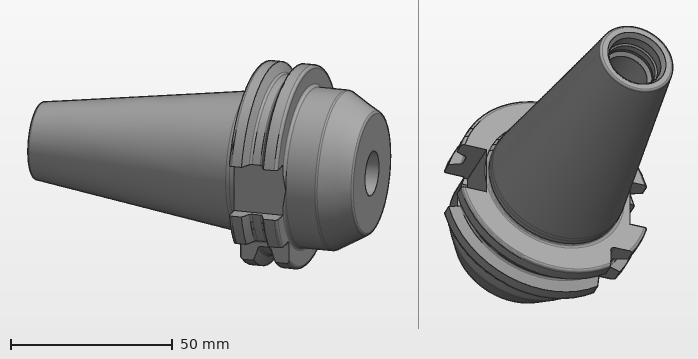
import cadquery as cq
import math


total_length = 108.2
gauge_position = 68.4
gauge_radius = 22.1
taper_slope = 7 / 48
shank_end_radius = gauge_radius - gauge_position * taper_slope
shank_end_rounding = 0.8
gauge_rounding = 8.7
edge_rounding = 1.0

flange_diameter = 63.5
flange_radius = flange_diameter / 2
flange_start = 71.5
flange_width = 15.8
flange_end = flange_start + flange_width
groove_center = 79.3
groove_depth = 3.7
groove_half_width = 3.6
groove_floor_half_width = 1.8
groove_floor_rounding = 0.9
groove_floor_radius = flange_radius - groove_depth

nose_radius = 25.0
nose_cone_start = 98.2
nose_cone_angle = math.radians(30)
nose_cone_rounding = 1.3
nose_end_radius = nose_radius - (total_length - nose_cone_start) * math.tan(nose_cone_angle)

bore_diameter = 14.0
bore_radius = bore_diameter / 2
mouth_radius = 9.6
pilot_radius = 8.5
mouth_depth = 1.6
pilot_depth = 4.7
thread_radius = 8.0
thread_depth = 7.4
undercut_radius = 8.1
undercut_end = 8.3
lead_in = pilot_radius - thread_radius
undercut_runout = undercut_radius - bore_radius

slot_width = 16.1
shallow_slot_floor = nose_radius
deep_slot_floor = 22.5
deep_slot_shoulder = 88.0
deep_slot_end = 90.4
notch_y = 18.6
notch_z = 18.4
notch_rounding = 1.3


def rounded_outline(corners):
    """Closed outline through (x, y, rounding) corners, with an arc where the rounding is not zero."""
    outline = cq.Workplane("XY").moveTo(*corners[0][:2])
    for before, corner, after in zip(corners, corners[1:], corners[2:] + corners[:1]):
        point = cq.Vector(*corner[:2])
        rounding = corner[2]
        if rounding == 0:
            outline = outline.lineTo(point.x, point.y)
            continue
        to_before = (cq.Vector(*before[:2]) - point).normalized()
        to_after = (cq.Vector(*after[:2]) - point).normalized()
        half_angle = to_before.getAngle(to_after) / 2
        tangent_length = rounding / math.tan(half_angle)
        apex_distance = rounding / math.sin(half_angle) - rounding
        start = point + to_before * tangent_length
        middle = point + (to_before + to_after).normalized() * apex_distance
        end = point + to_after * tangent_length
        outline = outline.lineTo(start.x, start.y)
        outline = outline.threePointArc((middle.x, middle.y), (end.x, end.y))
    return outline.close()


def turned(corners):
    """Solid of revolution about the X axis."""
    return rounded_outline(corners).revolve(360, (0, 0, 0), (1, 0, 0))


def holder_body():
    return turned([
        (0, 0, 0),
        (0, shank_end_radius, shank_end_rounding),
        (gauge_position, gauge_radius, gauge_rounding),
        (flange_start, gauge_radius, edge_rounding),
        (flange_start, flange_radius, edge_rounding),
        (groove_center - groove_half_width, flange_radius, 0),
        (groove_center - groove_floor_half_width, groove_floor_radius, groove_floor_rounding),
        (groove_center + groove_floor_half_width, groove_floor_radius, groove_floor_rounding),
        (groove_center + groove_half_width, flange_radius, 0),
        (flange_end, flange_radius, edge_rounding),
        (flange_end, nose_radius, edge_rounding),
        (nose_cone_start, nose_radius, nose_cone_rounding),
        (total_length, nose_end_radius, edge_rounding),
        (total_length, 0, 0),
    ])


def stepped_bore():
    return turned([
        (0, 0, 0),
        (0, mouth_radius, 0),
        (mouth_depth, pilot_radius, 0),
        (pilot_depth, pilot_radius, 0),
        (pilot_depth + lead_in, thread_radius, 0),
        (thread_depth, thread_radius, 0),
        (thread_depth, undercut_radius, 0),
        (undercut_end, undercut_radius, 0),
        (undercut_end + undercut_runout, bore_radius, 0),
        (total_length, bore_radius, 0),
        (total_length, 0, 0),
    ])


def shallow_slot():
    """Drive slot on the -Y side; its flat floor is tangent to the nose and cuts the root rounding."""
    length = flange_width + edge_rounding
    depth = flange_radius - shallow_slot_floor
    return (
        cq.Workplane("XY")
        .box(length, depth, slot_width, centered=(False, False, True))
        .translate((flange_start, -flange_radius, 0))
    )


def deep_slot():
    """Drive slot on the +Y side; its rounded end runs out into the nose."""
    depth = flange_radius - deep_slot_floor
    end_radius = slot_width / 2
    straight = (
        cq.Workplane("XY")
        .box(deep_slot_shoulder - flange_start, depth, slot_width, centered=(False, False, True))
        .translate((flange_start, deep_slot_floor, 0))
    )
    rounded_end = (
        cq.Workplane("XZ", origin=(deep_slot_end - end_radius, deep_slot_floor, 0))
        .circle(end_radius)
        .extrude(-depth)
    )
    return straight.union(rounded_end)


def orientation_notch():
    """Square corner cut in the flange on the -Y, -Z side, with a rounded inner corner."""
    return (
        cq.Workplane("XY")
        .box(flange_width, flange_radius, flange_radius, centered=False)
        .translate((flange_start, -notch_y - flange_radius, -notch_z - flange_radius))
        .edges("|X and >Y and >Z")
        .fillet(notch_rounding)
    )


result = (
    holder_body()
    .cut(stepped_bore())
    .cut(shallow_slot())
    .cut(deep_slot())
    .cut(orientation_notch())
)